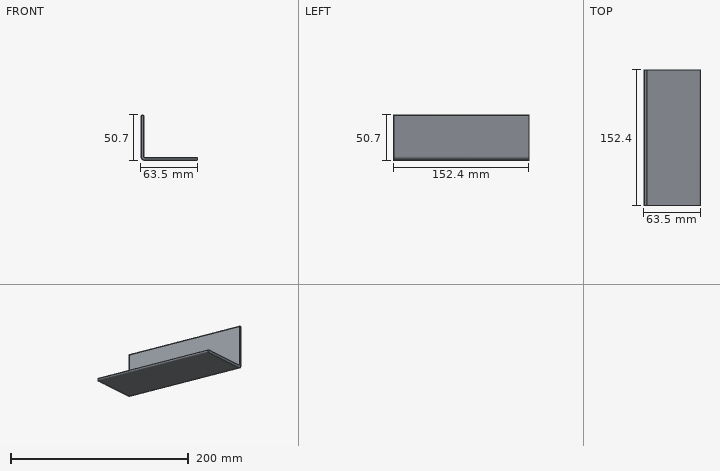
import cadquery as cq

length = 152.4
base_width = 63.5
wall_height = 50.7
thickness = 3.2
inner_bend_radius = 0.9

outer_bend_radius = inner_bend_radius + thickness
tip_radius = thickness / 2
bend_center = outer_bend_radius


def angle_section():
    """Closed outline of the L section, measured from the outer corner of the bend."""
    base_end = base_width - tip_radius
    wall_end = wall_height - tip_radius
    left = -base_width / 2
    bottom = -wall_height / 2
    return (
        cq.Workplane("XZ", origin=(left, 0, bottom))
        .moveTo(bend_center, 0)
        .lineTo(base_end, 0)
        .threePointArc((base_width, tip_radius), (base_end, thickness))
        .lineTo(bend_center, thickness)
        .radiusArc((thickness, bend_center), inner_bend_radius)
        .lineTo(thickness, wall_end)
        .threePointArc((tip_radius, wall_height), (0, wall_end))
        .lineTo(0, bend_center)
        .radiusArc((bend_center, 0), -outer_bend_radius)
        .close()
    )


result = angle_section().extrude(length / 2, both=True)